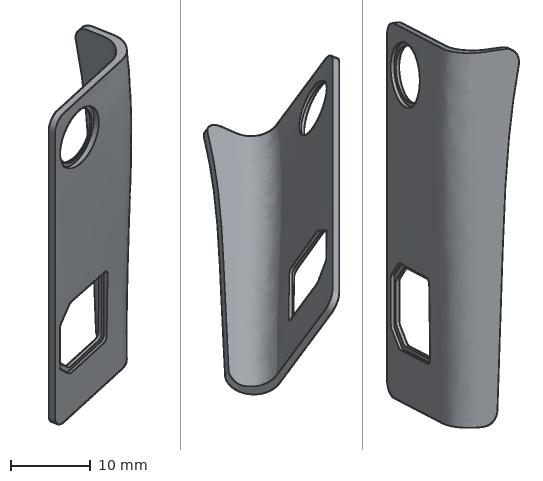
import cadquery as cq
import math

height = 48.8
depth = 18.85
thickness = 1.0
plate_outer_x = 8.85
bend_radius = 3.7
corner_radius = 1.95

bow_stations = [(0, 0), (9.75, 0.05), (21.95, 0.45), (37.6, 0.85), (48.8, 0)]

edge_bottom_x = 3.1
edge_straight_top = (2.3, 22.95)
edge_mid = (1.25, 38.55)
edge_top = (0, 46.65)
edge_top_tangent = (-0.2, 1)

hole_diameter = 7.3
hole_y = 5.25
hole_z = 42.95

window_y_min = 1.6
window_y_max = 11.18
window_z_min = 7.2
window_z_max = 17.5
window_chamfer = 2.25
window_corner_radius = 0.75

relief_start_x = 8.4
relief_margin = 0.5

cut_margin = 2.45


def bend_points(plate_x, lean, back_y, radius):
    """Start, middle and end of the arc joining the leaning plate to the flange."""
    center_y = back_y - radius
    center_x = plate_x + center_y * math.tan(lean) - radius / math.cos(lean)

    def on_arc(angle):
        return center_x + radius * math.cos(angle), center_y + radius * math.sin(angle)

    flange_angle = math.pi / 2
    return on_arc(-lean), on_arc((flange_angle - lean) / 2), on_arc(flange_angle)


def bracket_section(z, bow):
    """L-shaped section with its plate leaning outward by the given bow."""
    lean = math.atan(bow / depth)
    plate_inner_x = plate_outer_x - thickness / math.cos(lean)
    outer = bend_points(plate_outer_x, lean, depth, bend_radius)
    inner = bend_points(plate_inner_x, lean, depth - thickness, bend_radius)
    return (
        cq.Workplane("XY", origin=(0, 0, z))
        .moveTo(plate_outer_x, 0)
        .lineTo(*outer[0])
        .threePointArc(outer[1], outer[2])
        .lineTo(0, depth)
        .lineTo(0, depth - thickness)
        .lineTo(*inner[2])
        .threePointArc(inner[1], inner[0])
        .lineTo(plate_inner_x, 0)
        .close()
        .val()
    )


def bent_sheet():
    sections = [bracket_section(z, bow) for z, bow in bow_stations]
    return cq.Workplane(cq.Solid.makeLoft(sections))


def flange_outline():
    """Flange shape in XZ, extended past the bend and extruded through the depth."""
    far_x = plate_outer_x + cut_margin
    straight_direction = (edge_straight_top[0] - edge_bottom_x, edge_straight_top[1])
    prism = (
        cq.Workplane("XZ", origin=(0, depth + cut_margin, 0))
        .moveTo(far_x, 0)
        .lineTo(edge_bottom_x, 0)
        .lineTo(*edge_straight_top)
        .spline(
            [edge_mid, edge_top],
            tangents=[straight_direction, edge_top_tangent],
            includeCurrent=True,
        )
        .threePointArc(
            (corner_radius * (1 - math.sqrt(0.5)), height - corner_radius * (1 - math.sqrt(0.5))),
            (corner_radius, height),
        )
        .lineTo(far_x, height)
        .close()
        .extrude(depth + 2 * cut_margin)
    )
    bottom_corner = cq.selectors.NearestToPointSelector((edge_bottom_x, depth / 2, 0))
    return prism.edges("|Y").edges(bottom_corner).fillet(corner_radius)


def plate_outline():
    """Plate shape in YZ with its two free corners rounded."""
    return (
        cq.Workplane("XY")
        .box(plate_outer_x + 2 * cut_margin, depth + cut_margin, height, centered=False)
        .translate((-cut_margin, 0, 0))
        .edges("|X and <Y")
        .fillet(corner_radius)
    )


def round_hole(start_x, margin):
    """Cutter for the round hole, running backward from start_x and widened by margin."""
    return (
        cq.Workplane("YZ", origin=(start_x, hole_y, hole_z))
        .circle(hole_diameter / 2 + margin)
        .extrude(plate_outer_x + cut_margin - start_x)
    )


def window(start_x, margin):
    """Cutter for the window, running backward from start_x and widened by margin."""
    return (
        cq.Workplane("XY")
        .box(
            plate_outer_x + cut_margin - start_x,
            window_y_max - window_y_min + 2 * margin,
            window_z_max - window_z_min + 2 * margin,
            centered=False,
        )
        .translate((start_x, window_y_min - margin, window_z_min - margin))
        .edges("|X and <Y")
        .chamfer(window_chamfer)
        .edges("|X")
        .fillet(window_corner_radius)
    )


result = bent_sheet().intersect(flange_outline()).intersect(plate_outline())
for start_x, margin in [(0, 0), (relief_start_x, relief_margin)]:
    result = result.cut(round_hole(start_x, margin)).cut(window(start_x, margin))